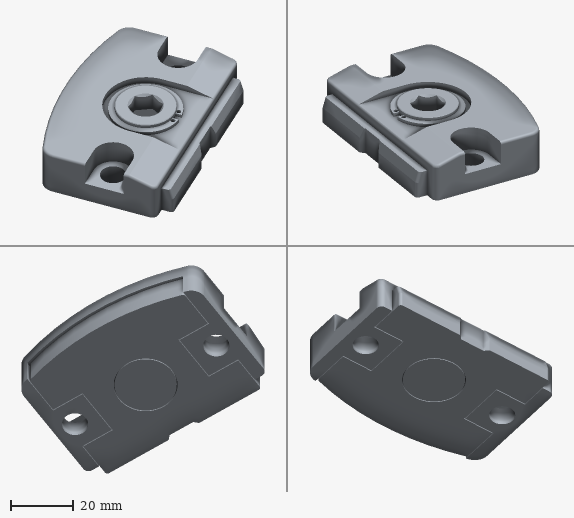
import cadquery as cq
import math


length = 70.0
half_length = length / 2
height = 15.0
back_x = -28.0
front_x = 18.0
back_radius = 100.0
back_corner_radius = 5.0
front_corner_radius = 2.0
edge_radius = 1.0
slope_start_x = 8.6
slope_angle = 15.0

bolt_y = 27.45
bolt_hole_diameter = 8.5
bolt_seat_radius = 6.7
bolt_seat_z = 6.9
boss_half_width = 8.4
boss_inner_y = 18.9

pocket_radius = 14.0
pocket_floor_z = 12.5
spindle_radius = 10.0
spindle_chamfer = 0.2
hex_across_flats = 10.0
hex_depth = 6.0
hex_lead_in_radius = 5.8
hex_lead_in_angle = 45.0
ring_radius = 12.1
ring_thickness = 1.2
ring_gap = 2.5
ring_eye_radius = 0.8
ring_eye_x = 10.5
ring_eye_y = 2.45

jaw_half_length = 30.0
jaw_height = 9.0
jaw_front_x = 22.0
jaw_back_inset = 1.0
jaw_corner_radius = 1.0
jaw_slope_depth = 1.1
jaw_slope_bottom_z = 5.45
notch_depth = 1.4
notch_half_width = 5.95
clearance = 0.3

cut_margin = 3.5


def block(x_min, x_max, y_min, y_max, z_min, z_max):
    """Axis-aligned box given by its limits."""
    return (
        cq.Workplane("XY", origin=(x_min, y_min, z_min))
        .box(x_max - x_min, y_max - y_min, z_max - z_min, centered=False)
    )


def cylinder(radius, z_min, z_max, x=0.0, y=0.0):
    """Upright cylinder between two heights."""
    return cq.Workplane("XY", origin=(x, y, z_min)).circle(radius).extrude(z_max - z_min)


def bowed_prism(apex_x, radius, end_x, half_width, prism_height):
    """Prism with a plain front at end_x and a back bowed outward about the X axis."""
    side_x = apex_x + radius - math.sqrt(radius**2 - half_width**2)
    return (
        cq.Workplane("XY")
        .moveTo(end_x, -half_width)
        .lineTo(end_x, half_width)
        .lineTo(side_x, half_width)
        .threePointArc((apex_x, 0), (side_x, -half_width))
        .close()
        .extrude(prism_height)
    )


def front_chamfer(top_x, top_z, slope_x, slope_z):
    """Wedge above and in front of the sloping line between two points."""
    return (
        cq.Workplane("XZ", origin=(0, length, 0))
        .moveTo(top_x, top_z)
        .lineTo(slope_x, top_z)
        .lineTo(slope_x, slope_z)
        .close()
        .extrude(2 * length)
    )


def housing_shell():
    """Solid outer shape with the sloped front and rounded upper edges."""
    shell = bowed_prism(back_x, back_radius, front_x, half_length, height)
    shell = shell.edges("|Z").edges("<X").fillet(back_corner_radius)
    shell = shell.edges("|Z").edges(">X").fillet(front_corner_radius)

    angle = math.radians(slope_angle)
    slope_drop = (front_x - slope_start_x) * math.tan(angle)
    shell = shell.cut(front_chamfer(slope_start_x, height, front_x, height - slope_drop))

    slope_normal = cq.Vector(math.sin(angle), 0, math.cos(angle))
    slope_face = shell.faces(cq.ParallelDirSelector(slope_normal))
    return shell.faces(">Z").add(slope_face).edges().fillet(edge_radius)


def bolt_seats():
    """Open-ended seats with through holes, one at each end of the housing."""
    top_z = height + cut_margin
    cuts = cq.Workplane("XY")
    for side in (-1, 1):
        y_min, y_max = sorted((side * bolt_y, side * (half_length + cut_margin)))
        cuts = (
            cuts.union(block(-bolt_seat_radius, bolt_seat_radius, y_min, y_max, bolt_seat_z, top_z))
            .union(cylinder(bolt_seat_radius, bolt_seat_z, top_z, y=side * bolt_y))
            .union(cylinder(bolt_hole_diameter / 2, -cut_margin, bolt_seat_z, y=side * bolt_y))
        )
    return cuts


def jaw_channel():
    """Underside passage for the jaw, with a boss left below each bolt seat."""
    channel_half_width = jaw_half_length + clearance
    channel = block(back_x - cut_margin, front_x + cut_margin,
                    -channel_half_width, channel_half_width, 0, jaw_height)
    for side in (-1, 1):
        y_min, y_max = sorted((side * boss_inner_y, side * half_length))
        channel = channel.cut(block(-boss_half_width, boss_half_width, y_min, y_max, 0, jaw_height))
    return channel


def spindle_pocket():
    """Flat recess around the spindle, round at the back and open at the front."""
    top_z = height + cut_margin
    return (
        cylinder(pocket_radius, pocket_floor_z, top_z)
        .union(block(0, front_x + cut_margin, -pocket_radius, pocket_radius, pocket_floor_z, top_z))
    )


def retaining_ring():
    """Split ring around the spindle with an eye at each end of the gap."""
    ring_top_z = pocket_floor_z + ring_thickness
    ring = cylinder(ring_radius, pocket_floor_z, ring_top_z)
    ring = ring.cut(block(0, 2 * ring_radius, -ring_gap / 2, ring_gap / 2, pocket_floor_z, ring_top_z))
    for side in (-1, 1):
        ring = ring.cut(cylinder(ring_eye_radius, pocket_floor_z, ring_top_z, ring_eye_x, side * ring_eye_y))
    return ring


def spindle():
    """Spindle from the underside to the top."""
    return cylinder(spindle_radius, 0, height).faces(">Z").edges().chamfer(spindle_chamfer)


def hex_socket():
    """Hexagonal socket with a conical lead-in, corners along Y."""
    hex_corner_diameter = hex_across_flats / math.cos(math.pi / 6)
    socket = (
        cq.Workplane("XY", origin=(0, 0, height - hex_depth))
        .transformed(rotate=(0, 0, 90))
        .polygon(6, hex_corner_diameter)
        .extrude(hex_depth)
    )
    cone_depth = hex_lead_in_radius * math.tan(math.radians(hex_lead_in_angle))
    lead_in = cq.Workplane(
        cq.Solid.makeCone(hex_lead_in_radius, 0, cone_depth, cq.Vector(0, 0, height), cq.Vector(0, 0, -1))
    )
    return socket.union(lead_in)


def make_housing():
    """Housing with the spindle and its retaining ring."""
    return (
        housing_shell()
        .cut(jaw_channel())
        .cut(bolt_seats())
        .cut(spindle_pocket())
        .union(retaining_ring())
        .union(spindle())
        .cut(hex_socket())
    )


def make_jaw():
    """Jaw plate passing under the housing, waisted around the bosses and the spindle."""
    jaw = bowed_prism(back_x + jaw_back_inset, back_radius - jaw_back_inset,
                      jaw_front_x, jaw_half_length, jaw_height)
    slope_top_x = jaw_front_x - jaw_slope_depth
    jaw = jaw.cut(front_chamfer(slope_top_x, jaw_height, jaw_front_x, jaw_slope_bottom_z))

    slope_direction = cq.Vector(jaw_slope_depth, 0, jaw_slope_bottom_z - jaw_height)
    slope_edges = jaw.edges(cq.ParallelDirSelector(slope_direction))
    jaw = jaw.edges("|Z").add(slope_edges).fillet(jaw_corner_radius)

    notch_bottom_x = jaw_front_x - notch_depth
    notch_bottom_half_width = notch_half_width - notch_depth
    notch = (
        cq.Workplane("XY")
        .moveTo(jaw_front_x, -notch_half_width)
        .lineTo(jaw_front_x, notch_half_width)
        .lineTo(notch_bottom_x, notch_bottom_half_width)
        .lineTo(notch_bottom_x, -notch_bottom_half_width)
        .close()
        .extrude(jaw_height)
    )
    jaw = jaw.cut(notch)

    relief_half_width = boss_half_width + clearance
    for side in (-1, 1):
        y_min, y_max = sorted((side * (boss_inner_y - clearance), side * half_length))
        jaw = jaw.cut(block(-relief_half_width, relief_half_width, y_min, y_max, 0, jaw_height))
    return jaw.cut(cylinder(spindle_radius + clearance, 0, jaw_height))


housing = make_housing()
jaw = make_jaw()

result = cq.Compound.makeCompound([housing.solids().val(), jaw.solids().val()])